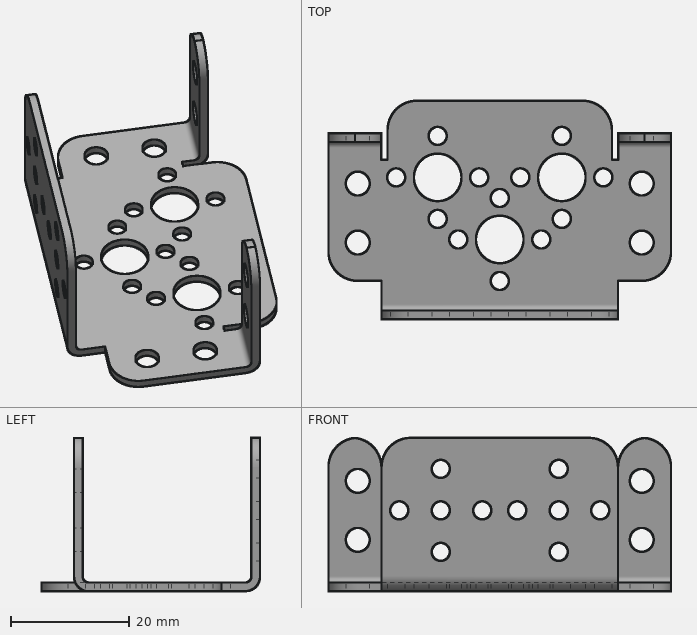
import cadquery as cq
import math


width = 58.0
depth = 37.0
height = 26.0
thickness = 1.5
bend_inner_radius = 1.0
bend_outer_radius = bend_inner_radius + thickness
corner_radius = 5.0

front_tab_width = 40.0
rear_tab_width = 38.0
ear_front_y = 6.5
ear_rear_y = 31.5
relief_slot_depth = 10.0
relief_slot_y = depth - relief_slot_depth
ear_width = (width - front_tab_width) / 2
ear_center_x = (width - ear_width) / 2

screw_diameter = 3.0
screw_offset = 7.0
horn_diameter = 8.0
horn_spacing = 10.5
rear_horn_y = 24.0
front_horn_y = rear_horn_y - horn_spacing

ear_hole_diameter = 4.0
ear_hole_x = width / 2 - corner_radius
ear_hole_pitch = 10.0
base_ear_hole_center_y = 18.0

flange_pattern_x = 10.0
flange_hole_center_z = 13.7

four_sides = ((1, 0), (-1, 0), (0, 1), (0, -1))


def slab(slab_width, front_y, rear_y):
    """Flat rectangle of sheet centred on X = 0."""
    length = rear_y - front_y
    return (
        cq.Workplane("XY", origin=(0, front_y + length / 2, 0))
        .rect(slab_width, length)
        .extrude(thickness)
    )


def base_plate():
    """Flat plate that stops where the front and ear bends begin."""
    ear_bend_y = ear_rear_y - bend_outer_radius
    ears = slab(width, ear_front_y, ear_bend_y).edges("|Z and <Y").fillet(corner_radius)
    relief_gap = slab(front_tab_width, relief_slot_y, ear_bend_y)
    rear_tab = slab(rear_tab_width, relief_slot_y, depth).edges("|Z and >Y").fillet(corner_radius)
    front_tab = slab(front_tab_width, bend_outer_radius, ear_front_y)
    return ears.cut(relief_gap).union(rear_tab).union(front_tab)


def bent_flange(center_x, flange_width, outer_y, inward):
    """Bend and upright wall; inward is +1 or -1, the Y direction from outer face to base."""
    inner_y = outer_y + inward * thickness
    bend_end_y = outer_y + inward * bend_outer_radius
    return (
        cq.Workplane("YZ", origin=(center_x, 0, 0))
        .moveTo(bend_end_y, 0)
        .radiusArc((outer_y, bend_outer_radius), inward * bend_outer_radius)
        .lineTo(outer_y, height)
        .lineTo(inner_y, height)
        .lineTo(inner_y, bend_outer_radius)
        .radiusArc((bend_end_y, thickness), -inward * bend_inner_radius)
        .close()
        .extrude(flange_width / 2, both=True)
    )


def front_flange():
    """Upright front wall with two rounded top corners."""
    flange = bent_flange(0, front_tab_width, 0, 1)
    return flange.edges("|Y and >Z").fillet(corner_radius)


def ear_flange(center_x):
    """Upright ear whose two corner arcs overlap and meet in a shallow peak."""
    flange = bent_flange(center_x, ear_width, ear_rear_y, -1)
    half_width = ear_width / 2
    arc_start_z = height - corner_radius
    peak_z = arc_start_z + math.sqrt(corner_radius**2 - (corner_radius - half_width) ** 2)
    tip_outline = (
        cq.Workplane("XZ", origin=(center_x, 0, 0))
        .moveTo(-half_width, 0)
        .lineTo(-half_width, arc_start_z)
        .radiusArc((0, peak_z), corner_radius)
        .radiusArc((half_width, arc_start_z), corner_radius)
        .lineTo(half_width, 0)
        .close()
        .extrude(-depth)
    )
    return flange.intersect(tip_outline)


def around(center_x, center_y):
    """Four screw positions around a pattern centre."""
    return [(center_x + i * screw_offset, center_y + j * screw_offset) for i, j in four_sides]


def ear_hole_points(center):
    """Two holes in each ear, spaced evenly about the given position."""
    return [(i * ear_hole_x, center + j * ear_hole_pitch / 2) for i in (-1, 1) for j in (-1, 1)]


def holes(plane, points, diameter, length):
    """Cylinders that pierce a wall, starting on the given plane."""
    return cq.Workplane(plane).pushPoints(points).circle(diameter / 2).extrude(length)


horn_centers = [(-horn_spacing, rear_horn_y), (horn_spacing, rear_horn_y), (0, front_horn_y)]
base_screws = [point for center in horn_centers for point in around(*center)]
flange_centers = [(i * flange_pattern_x, flange_hole_center_z) for i in (-1, 1)]
flange_screws = flange_centers + [point for center in flange_centers for point in around(*center)]

result = base_plate().union(front_flange())
for side in (-1, 1):
    result = result.union(ear_flange(side * ear_center_x))

result = result.cut(holes("XY", horn_centers, horn_diameter, thickness))
result = result.cut(holes("XY", base_screws, screw_diameter, thickness))
result = result.cut(holes("XY", ear_hole_points(base_ear_hole_center_y), ear_hole_diameter, thickness))

result = result.cut(holes("XZ", flange_screws, screw_diameter, -thickness))
result = result.cut(holes("XZ", ear_hole_points(flange_hole_center_z), ear_hole_diameter, -depth))